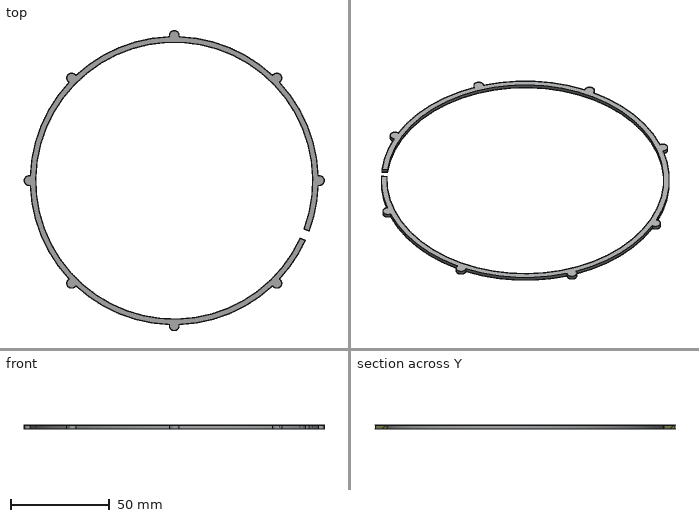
import cadquery as cq

overall_diameter = 152.0
thickness = 2.0

ring_outer_radius = 73.0
ring_inner_radius = 70.0

lug_count = 8
lug_radius = 2.51
lug_center_radius = overall_diameter / 2 - lug_radius

split_width = 5.0
split_angle = -360 / lug_count / 2
split_length = 4 * (ring_outer_radius - ring_inner_radius)


def make_lugs():
    """Discs on the rim, one of them on the +X axis."""
    return (
        cq.Workplane("XY")
        .polarArray(lug_center_radius, 0, 360, lug_count)
        .circle(lug_radius)
        .extrude(thickness)
    )


def make_ring():
    """Flat ring with lugs, with a clean round bore."""
    rim = cq.Workplane("XY").circle(ring_outer_radius).extrude(thickness)
    bore = cq.Workplane("XY").circle(ring_inner_radius).extrude(thickness)
    return rim.union(make_lugs()).cut(bore)


def make_split():
    """Radial block that cuts through the band to open the ring."""
    return (
        cq.Workplane("XY")
        .center((ring_outer_radius + ring_inner_radius) / 2, 0)
        .rect(split_length, split_width)
        .extrude(thickness)
        .rotate((0, 0, 0), (0, 0, 1), split_angle)
    )


result = make_ring().cut(make_split())